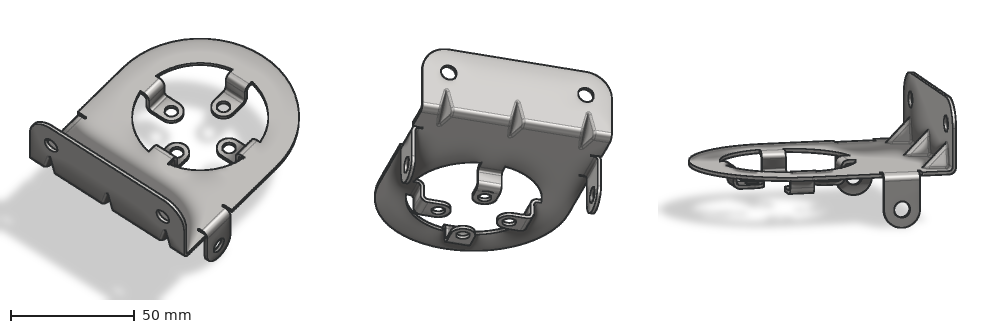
import cadquery as cq
import math

thickness = 1.5
bend_inner = 1.5
bend_outer = bend_inner + thickness

plate_width = 80.0
plate_length = 100.0
round_end_radius = plate_width / 2
opening_y = plate_length - round_end_radius
opening_radius = 27.5

flange_height = 30.0
flange_corner = 11.0
flange_hole_diameter = 6.6
flange_hole_x = plate_width / 2 - flange_corner
flange_hole_z = flange_height - flange_corner

gusset_pitch = 30.0
gusset_leg = 10.0
gusset_crown = 1.7
gusset_draft = 20.0
gusset_fillet = 1.0

side_tab_width = 15.0
side_tab_y = 22.5
side_tab_drop = 21.0
side_tab_hole_diameter = 6.6
relief_width = 0.8
relief_length = 4.5

step_tab_width = 10.0
step_tab_drop = 8.5
step_tab_wall_radius = 24.0
front_step_tab_wall_radius = 22.5
step_tab_hole_offset = 15.0
step_tab_hole_diameter = 5.5
step_tab_overlap = 0.5
step_tab_root_radius = opening_radius + step_tab_overlap


def arc_end(center, radius, angle):
    """Point on a circle at an angle in degrees."""
    turn = math.radians(angle)
    return (center[0] + radius * math.cos(turn), center[1] + radius * math.sin(turn))


def bend_to(outline, center, radius, start, end):
    """Continue an outline around a bend between two angles."""
    middle = arc_end(center, radius, (start + end) / 2)
    return outline.lineTo(*arc_end(center, radius, start)).threePointArc(middle, arc_end(center, radius, end))


def base_plate():
    """Flat plate with a round rear end and the large opening."""
    front = cq.Workplane("XY").rect(plate_width, opening_y - bend_outer).extrude(thickness)
    front = front.translate((0, (opening_y + bend_outer) / 2, 0))
    rear = cq.Workplane("XY").center(0, opening_y).circle(round_end_radius).extrude(thickness)
    opening = cq.Workplane("XY").center(0, opening_y).circle(opening_radius).extrude(thickness)
    return front.union(rear).cut(opening)


def front_flange():
    """Upright flange together with its bend, with rounded top corners and two holes."""
    bend_center = (bend_outer, bend_outer)
    outline = cq.Workplane("YZ").moveTo(0, flange_height)
    outline = bend_to(outline, bend_center, bend_outer, 180, 270)
    outline = bend_to(outline, bend_center, bend_inner, 270, 180)
    outline = outline.lineTo(thickness, flange_height).close()
    flange = outline.extrude(plate_width / 2, both=True)
    flange = flange.edges("|Y and >Z").fillet(flange_corner)
    holes = (
        cq.Workplane("XZ")
        .pushPoints([(-flange_hole_x, flange_hole_z), (flange_hole_x, flange_hole_z)])
        .circle(flange_hole_diameter / 2)
        .extrude(-thickness)
    )
    return flange.cut(holes)


def gusset_prism(crown):
    """Round-crowned, drafted bar running at 45 degrees across the flange bend.

    The crown's axis is the same for every crown radius, so two prisms differ by an even wall.
    """
    ridge = (2 * thickness + gusset_leg) / math.sqrt(2)
    crown_axis = ridge - gusset_crown
    draft = math.radians(gusset_draft)
    shoulder_x = crown * math.cos(draft)
    shoulder = crown_axis + crown * math.sin(draft)
    foot_x = shoulder_x + shoulder * math.tan(draft)
    section = cq.Plane(origin=(0, 0, 0), xDir=(1, 0, 0), normal=(0, -1, 1))
    return (
        cq.Workplane(section)
        .moveTo(-foot_x, 0)
        .lineTo(-shoulder_x, shoulder)
        .threePointArc((0, crown_axis + crown), (shoulder_x, shoulder))
        .lineTo(foot_x, 0)
        .close()
        .extrude(plate_width / 2, both=True)
    )


def press_gusset(body, x):
    """Press one hollow gusset into the flange bend at the given X and round its rims."""
    reach = thickness + gusset_leg
    inner_corner = cq.Workplane("XY").box(plate_width, reach, reach, centered=(True, False, False))
    inner_corner = inner_corner.translate((0, thickness, thickness))
    bulge = gusset_prism(gusset_crown).intersect(inner_corner)
    cavity = gusset_prism(gusset_crown - thickness)
    body = body.union(bulge.translate((x, 0, 0))).cut(cavity.translate((x, 0, 0)))

    nearby = cq.selectors.BoxSelector(
        (x - gusset_pitch / 4, -thickness, -thickness),
        (x + gusset_pitch / 4, reach + thickness, reach + thickness),
    )
    along_ridge = cq.selectors.ParallelDirSelector(cq.Vector(0, 1, -1))
    rims = body.edges(cq.selectors.SubtractSelector(nearby, along_ridge))
    return rims.fillet(gusset_fillet)


def side_tab():
    """Tab on the +X edge, bent down, with a round end and one hole."""
    outer_x = plate_width / 2
    root_x = outer_x - bend_outer
    end_radius = side_tab_width / 2
    hole_z = end_radius - side_tab_drop
    bend_center = (root_x, thickness - bend_outer)
    outline = cq.Workplane("XZ").moveTo(outer_x, hole_z)
    outline = bend_to(outline, bend_center, bend_outer, 0, 90)
    outline = bend_to(outline, bend_center, bend_inner, 90, 0)
    outline = outline.lineTo(outer_x - thickness, hole_z).close()
    strip = outline.extrude(end_radius, both=True)
    face = cq.Workplane("YZ", origin=(outer_x - thickness, 0, hole_z))
    round_end = face.circle(end_radius).extrude(thickness)
    hole = face.circle(side_tab_hole_diameter / 2).extrude(thickness)
    return strip.union(round_end).cut(hole).translate((0, side_tab_y, 0))


def side_tab_cutout():
    """Clearance in the +X edge for the bend, with a round-ended relief slot on either side."""
    outer_x = plate_width / 2
    cutout = cq.Workplane("XY").box(2 * bend_outer, side_tab_width, thickness, centered=(True, True, False))
    cutout = cutout.translate((outer_x, side_tab_y, 0))
    relief_offset = (side_tab_width + relief_width) / 2
    reliefs = (
        cq.Workplane("XY")
        .pushPoints([(outer_x, side_tab_y - relief_offset), (outer_x, side_tab_y + relief_offset)])
        .slot2D(2 * relief_length, relief_width)
        .extrude(thickness)
    )
    return cutout.union(reliefs)


def step_tab(wall_radius, turn):
    """Tab reaching inward from the edge of the opening, stepped down, with a round end and a hole.

    The wall radius is the outer face of its upright wall; the tab is turned about the opening by an angle.
    """
    wall_inner = wall_radius - thickness
    upper_center = (wall_inner + bend_outer, thickness - bend_outer)
    lower_center = (wall_radius - bend_outer, bend_outer - step_tab_drop)
    end_radius = step_tab_width / 2
    outline = cq.Workplane("XZ").moveTo(step_tab_root_radius, thickness)
    outline = bend_to(outline, upper_center, bend_outer, 90, 180)
    outline = bend_to(outline, lower_center, bend_inner, 0, -90)
    outline = outline.lineTo(step_tab_hole_offset, thickness - step_tab_drop)
    outline = outline.lineTo(step_tab_hole_offset, -step_tab_drop)
    outline = bend_to(outline, lower_center, bend_outer, -90, 0)
    outline = bend_to(outline, upper_center, bend_inner, 180, 90)
    outline = outline.lineTo(step_tab_root_radius, 0).close()
    strip = outline.extrude(end_radius, both=True)
    foot = cq.Workplane("XY", origin=(step_tab_hole_offset, 0, -step_tab_drop))
    round_end = foot.circle(end_radius).extrude(thickness)
    hole = foot.circle(step_tab_hole_diameter / 2).extrude(thickness)
    tab = strip.union(round_end).cut(hole)
    return tab.rotate((0, 0, 0), (0, 0, 1), turn).translate((0, opening_y, 0))


result = base_plate().union(front_flange())

for gusset_x in (-gusset_pitch, 0, gusset_pitch):
    result = press_gusset(result, gusset_x)

result = result.cut(side_tab_cutout()).cut(side_tab_cutout().mirror("YZ"))
result = result.union(side_tab()).union(side_tab().mirror("YZ"))

for turn in (0, 90, 180):
    result = result.union(step_tab(step_tab_wall_radius, turn))
result = result.union(step_tab(front_step_tab_wall_radius, 270))